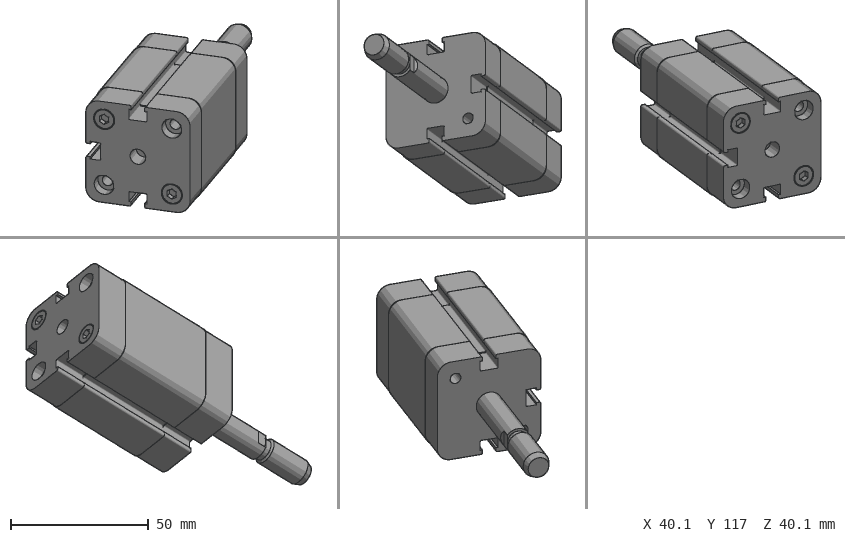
import cadquery as cq
cap_side = 40.0
tube_side = 40.1
cap_length = 12.9
tube_length = 38.8
body_length = tube_length + 2 * cap_length
cap_corner_radius = 5.3
tube_corner_radius = 4.9

slot_mouth_width = 5.1
slot_inner_width = 6.9
slot_lip_depth = 1.8
slot_edge_radius = 0.7
slot_floor_radius = 0.5
cap_slot_depth = 5.7
tube_slot_depth = 5.4

hole_offset = 13.0
through_hole_diameter = 4.1
counterbore_diameter = 7.5
screw_pocket_diameter = 8.0
screw_head_diameter = 7.5
screw_gap_depth = 0.6
screw_hexagon_diameter = 4.0
screw_hexagon_depth = 2.3
counterbore_depth = 4.2
port_diameter = 6.0
port_depth = 7.0

total_length = 117.0
rod_diameter = 10.0
thread_length = 19.0
tip_diameter = 8.0
tip_chamfer_length = 2.6
relief_diameter = 8.0
relief_chamfer_length = 0.6
relief_end = 22.1
flat_spacing = 8.0
flat_length = 3.5


def profile_section(start, length, side, corner_radius, slot_depth):
    """Rounded square bar along Y with T-slots on the -X, +Z and -Z sides."""
    bar = (
        cq.Workplane("XY")
        .box(side, length, side)
        .edges("|Y")
        .fillet(corner_radius)
    )
    half_side = side / 2
    mouth_half = slot_mouth_width / 2
    inner_half = slot_inner_width / 2
    lip_bottom = half_side - slot_lip_depth
    slot_floor = half_side - slot_depth
    edge_height = half_side - slot_edge_radius
    edge_half = mouth_half + slot_edge_radius
    floor_half = inner_half - slot_floor_radius
    floor_round_top = slot_floor + slot_floor_radius
    slot = (
        cq.Workplane("XZ")
        .moveTo(-edge_half, half_side)
        .radiusArc((-mouth_half, edge_height), slot_edge_radius)
        .lineTo(-mouth_half, lip_bottom)
        .lineTo(-inner_half, lip_bottom)
        .lineTo(-inner_half, floor_round_top)
        .radiusArc((-floor_half, slot_floor), -slot_floor_radius)
        .lineTo(floor_half, slot_floor)
        .radiusArc((inner_half, floor_round_top), -slot_floor_radius)
        .lineTo(inner_half, lip_bottom)
        .lineTo(mouth_half, lip_bottom)
        .lineTo(mouth_half, edge_height)
        .radiusArc((edge_half, half_side), slot_edge_radius)
        .close()
        .extrude(length / 2, both=True)
    )
    for angle in (0, -90, 180):
        bar = bar.cut(slot.rotate((0, 0, 0), (0, 1, 0), angle))
    return bar.translate((0, start + length / 2, 0))


def cylinder(x, z, start, length, diameter):
    """Cylinder along Y, centred on (x, z)."""
    plane = cq.Plane(origin=(x, start, z), xDir=(1, 0, 0), normal=(0, 1, 0))
    return cq.Workplane(plane).circle(diameter / 2).extrude(length)


def make_body():
    front_cap = profile_section(0, cap_length, cap_side, cap_corner_radius, cap_slot_depth)
    tube = profile_section(cap_length, tube_length, tube_side, tube_corner_radius, tube_slot_depth)
    rear_cap_start = cap_length + tube_length
    rear_cap = profile_section(rear_cap_start, cap_length, cap_side, cap_corner_radius, cap_slot_depth)
    return front_cap.union(tube).union(rear_cap)


def cut_through_hole(body, x, z):
    body = body.cut(cylinder(x, z, 0, body_length, through_hole_diameter))
    return body.cut(cylinder(x, z, 0, counterbore_depth, counterbore_diameter))


def cut_screw(body, x, z):
    """Ring-shaped gap around a flush screw head with a hexagon socket."""
    gap = cylinder(x, z, 0, screw_gap_depth, screw_pocket_diameter)
    gap = gap.cut(cylinder(x, z, 0, screw_gap_depth, screw_head_diameter))
    plane = cq.Plane(origin=(x, 0, z), xDir=(0, 0, 1), normal=(0, 1, 0))
    socket = cq.Workplane(plane).polygon(6, screw_hexagon_diameter).extrude(screw_hexagon_depth)
    return body.cut(gap).cut(socket)


def make_rod():
    """Rod turned about Y, with two wrench flats behind the thread relief."""
    rod_radius = rod_diameter / 2
    relief_radius = relief_diameter / 2
    thread_end = total_length - thread_length
    shank_end = total_length - relief_end
    rod = (
        cq.Workplane("XY")
        .moveTo(0, body_length)
        .lineTo(rod_radius, body_length)
        .lineTo(rod_radius, shank_end)
        .lineTo(relief_radius, shank_end)
        .lineTo(relief_radius, thread_end - relief_chamfer_length)
        .lineTo(rod_radius, thread_end)
        .lineTo(rod_radius, total_length - tip_chamfer_length)
        .lineTo(tip_diameter / 2, total_length)
        .lineTo(0, total_length)
        .close()
        .revolve(360, (0, 0, 0), (0, 1, 0))
    )
    flat_half = flat_spacing / 2
    flat_end = shank_end - flat_length
    run_out = rod_radius - flat_half
    cutter = (
        cq.Workplane("XY")
        .moveTo(flat_half, shank_end)
        .lineTo(flat_half, flat_end)
        .lineTo(flat_half + run_out, flat_end - run_out)
        .lineTo(flat_half + run_out, shank_end)
        .close()
        .extrude(rod_radius, both=True)
    )
    return rod.cut(cutter).cut(cutter.mirror("YZ"))


result = make_body()
for side in (-1, 1):
    result = cut_through_hole(result, side * hole_offset, side * hole_offset)
    result = cut_screw(result, side * hole_offset, -side * hole_offset)
result = result.cut(cylinder(0, 0, 0, port_depth, port_diameter))
result = result.union(make_rod())